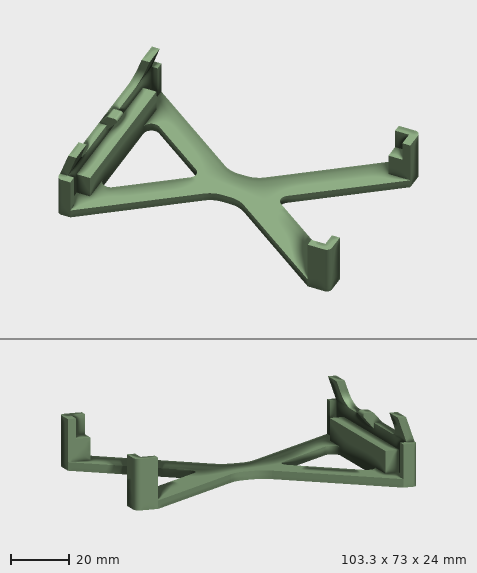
import cadquery as cq
import math

length = 103.3
width = 73.0
total_height = 24.0

wall = 3.0
plate_thickness = 3.0
end_wall_height = 15.2
post_height = 18.1
seat_height = 11.0
seat_size = 5.3
ledge_width = 53.1
ledge_end = 8.1
corner_radius = 2.0

arm_slope = 0.75
waist_width = 13.0
waist_radius = 10.0
opening_radius = 3.0

tab_lean = 3.1
tab_width = 8.3
tab_root_radius = 5.0

clip_width = 5.0
clip_height = 3.7
clip_lean = 3.2
clip_thickness = 4.9
clip_radius = 1.0

half_width = width / 2
post_size = wall + seat_size
clip_embedding = 0.5


def block(x_min, x_max, y_min, y_max, z_min, z_max):
    size = (x_max - x_min, y_max - y_min, z_max - z_min)
    return cq.Workplane("XY").box(*size, centered=False).translate((x_min, y_min, z_min))


def make_base():
    """Plate with a side notch above and below the waist and an opening at each end."""
    plate = block(0, length, -half_width, half_width, 0, plate_thickness)

    half_waist = waist_width / 2
    notch_run = (half_width - half_waist) / arm_slope
    notch_start = seat_size
    notch_end = length - post_size
    notch = (
        cq.Workplane("XY")
        .polyline([
            (notch_start, half_width),
            (notch_start + notch_run, half_waist),
            (notch_end - notch_run, half_waist),
            (notch_end, half_width),
        ])
        .close()
        .extrude(plate_thickness)
        .edges("|Z and (not >Y)")
        .fillet(waist_radius)
    )

    arm_end_y = half_width - post_size
    apex_inset = arm_end_y / arm_slope
    vee = (
        cq.Workplane("XY")
        .polyline([(length, arm_end_y), (length - apex_inset, 0), (length, -arm_end_y)])
        .close()
        .extrude(plate_thickness)
        .edges("|Z and <X")
        .fillet(opening_radius)
    )

    window_half = arm_end_y - ledge_end * arm_slope
    window = (
        cq.Workplane("XY")
        .polyline([(ledge_end, window_half), (apex_inset, 0), (ledge_end, -window_half)])
        .close()
        .extrude(plate_thickness)
        .edges("|Z")
        .fillet(opening_radius)
    )
    return plate.cut(notch).cut(notch.mirror("XZ")).cut(vee).cut(window)


def make_end_wall():
    """End wall with short returns at both corners and a low inner ledge."""
    body = block(0, seat_size, -half_width, half_width, 0, end_wall_height)
    inner_half = half_width - wall
    pocket = block(wall, seat_size, -inner_half, inner_half, plate_thickness, end_wall_height)
    ledge = block(wall, ledge_end, -ledge_width / 2, ledge_width / 2, 0, seat_height)
    return body.cut(pocket).union(ledge)


def make_post():
    """Corner post with a seat enclosed by two outer walls."""
    x_start = length - post_size
    y_start = half_width - post_size
    post = block(x_start, length, y_start, half_width, 0, post_height)
    pocket = block(
        x_start, x_start + seat_size, y_start, y_start + seat_size, seat_height, post_height
    )
    return post.cut(pocket)


def make_tab():
    """Leaning tab whose inner side sweeps into the wall top through a concave arc."""
    leaning_slab = (
        cq.Workplane("XZ")
        .polyline([
            (0, end_wall_height),
            (wall, end_wall_height),
            (wall + tab_lean, total_height),
            (tab_lean, total_height),
        ])
        .close()
        .extrude(width, both=True)
    )
    outer_y = half_width - wall
    inner_y = outer_y - tab_width
    arc_step = tab_root_radius * (1 - math.sqrt(0.5))
    face = (
        cq.Workplane("YZ")
        .moveTo(outer_y, end_wall_height)
        .lineTo(outer_y, total_height)
        .lineTo(inner_y, total_height)
        .lineTo(inner_y, end_wall_height + tab_root_radius)
        .threePointArc(
            (inner_y - arc_step, end_wall_height + arc_step),
            (inner_y - tab_root_radius, end_wall_height),
        )
        .close()
        .extrude(wall + tab_lean)
    )
    return leaning_slab.intersect(face)


def make_clip():
    """Leaning snap clip with a flat top and rounded upper corners."""
    root_drop = (clip_thickness - wall) * clip_height / clip_lean
    clip_top = end_wall_height + clip_height
    tip_x = clip_lean + clip_thickness
    return (
        cq.Workplane("XZ")
        .polyline([
            (0, end_wall_height),
            (clip_lean, clip_top),
            (tip_x, clip_top),
            (wall, end_wall_height - root_drop),
            (wall - clip_embedding, end_wall_height - root_drop),
            (wall - clip_embedding, end_wall_height),
        ])
        .close()
        .extrude(clip_width / 2, both=True)
        .edges("|Y and >Z")
        .fillet(clip_radius)
    )


post = make_post()
tab = make_tab()

frame = make_base().union(make_end_wall()).union(post).union(post.mirror("XZ"))

corner_reach = 0.1
for x in (0, length):
    for y in (-half_width, half_width):
        corner = cq.selectors.BoxSelector(
            (x - corner_reach, y - corner_reach, 0),
            (x + corner_reach, y + corner_reach, post_height),
        )
        frame = frame.edges(corner).edges("|Z").fillet(corner_radius)

result = frame.union(tab).union(tab.mirror("XZ")).union(make_clip())